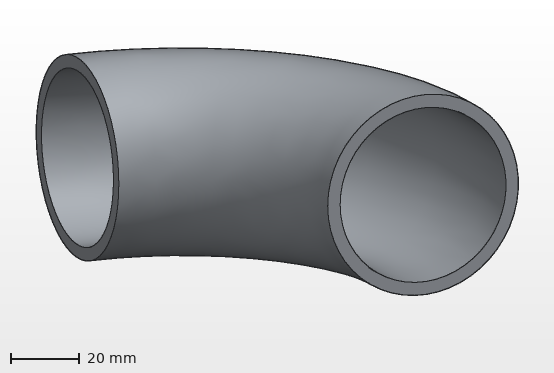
import cadquery as cq

overall_size = 106.4
outer_diameter = 60.3
wall_thickness = 3.9
bend_angle = 90.0

outer_radius = outer_diameter / 2
inner_radius = outer_radius - wall_thickness
bend_radius = overall_size - outer_radius

result = (
    cq.Workplane("XZ")
    .center(-bend_radius, 0)
    .circle(outer_radius)
    .circle(inner_radius)
    .revolve(bend_angle, (bend_radius, 1.1, 0), (bend_radius, 0, 0))
)